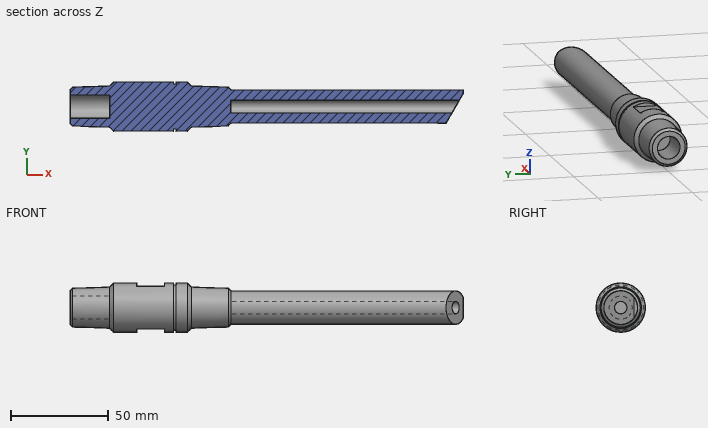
import cadquery as cq
import math

total_length = 202.29

body_diameter = 25.4
body_start = 20.3
body_end = 62.4
shoulder_length = 2.1
shoulder_diameter = 21.34

nipple_taper = 1 / 16
nipple_chamfer = 1.35

groove_diameter = 23.5
groove_start = 53.3
groove_width = 1.25

flat_start = 34.3
flat_length = 14.2
across_flats = 22.0

tube_diameter = 17.25
tip_angle = 30.0
tip_blunt_length = 1.0

inlet_bore_diameter = 11.91
tip_bore_diameter = 6.35

nipple_length = body_start
tube_start = body_end + nipple_length
tube_length = total_length - tube_start
nipple_tip_diameter = shoulder_diameter - nipple_taper * nipple_length


def cylinder_along_x(diameter, start, length):
    """Solid cylinder on the X axis."""
    return cq.Workplane("YZ", origin=(start, 0, 0)).circle(diameter / 2).extrude(length)


def make_body():
    """Body with a conical shoulder at each end."""
    body_radius = body_diameter / 2
    shoulder_radius = shoulder_diameter / 2
    profile = (
        cq.Workplane("XY")
        .moveTo(body_start, 0)
        .lineTo(body_start, shoulder_radius)
        .lineTo(body_start + shoulder_length, body_radius)
        .lineTo(body_end - shoulder_length, body_radius)
        .lineTo(body_end, shoulder_radius)
        .lineTo(body_end, 0)
        .close()
    )
    return profile.revolve(360, (0, 0, 0), (1, 0, 0))


def make_nipple(root, direction):
    """Tapered nipple growing from the body face at x = root, toward direction (+1 or -1)."""
    tip = root + direction * nipple_length
    chamfer_start = tip - direction * nipple_chamfer
    chamfer_radius = (nipple_tip_diameter + nipple_taper * nipple_chamfer) / 2
    profile = (
        cq.Workplane("XY")
        .moveTo(root, 0)
        .lineTo(root, shoulder_diameter / 2)
        .lineTo(chamfer_start, chamfer_radius)
        .lineTo(tip, chamfer_radius - nipple_chamfer)
        .lineTo(tip, 0)
        .close()
    )
    return profile.revolve(360, (0, 0, 0), (1, 0, 0))


def cut_groove(part):
    """Narrow ring groove around the body."""
    ring = cylinder_along_x(body_diameter, groove_start, groove_width)
    core = cylinder_along_x(groove_diameter, groove_start, groove_width)
    return part.cut(ring.cut(core))


def cut_wrench_flats(part):
    """Two opposite flats, facing +Z and -Z."""
    flat_depth = (body_diameter - across_flats) / 2
    flat_center_x = flat_start + flat_length / 2
    for side in (1, -1):
        flat_center_z = side * (across_flats + flat_depth) / 2
        cutter = cq.Workplane("XY").box(flat_length, body_diameter, flat_depth)
        part = part.cut(cutter.translate((flat_center_x, 0, flat_center_z)))
    return part


def cut_slanted_tip(part):
    """Slanted cut leaving the tube longest on its +Y side, its sharp point trimmed square."""
    tube_radius = tube_diameter / 2
    sharp_point_x = total_length + tip_blunt_length
    slant_length = tube_diameter * math.tan(math.radians(tip_angle))
    wedge = (
        cq.Workplane("XY", origin=(0, 0, -tube_radius))
        .moveTo(sharp_point_x, tube_radius)
        .lineTo(sharp_point_x - slant_length, -tube_radius)
        .lineTo(sharp_point_x, -tube_radius)
        .close()
        .extrude(tube_diameter)
    )
    return part.cut(wedge)


def cut_bores(part):
    """Wide bore from the first nipple and narrow bore from the slanted tip, both blind."""
    inlet_bore = cylinder_along_x(inlet_bore_diameter, 0, nipple_length)
    tip_bore = cylinder_along_x(tip_bore_diameter, tube_start, tube_length)
    return part.cut(inlet_bore).cut(tip_bore)


result = make_body()
result = result.union(make_nipple(body_start, -1))
result = result.union(make_nipple(body_end, 1))
result = result.union(cylinder_along_x(tube_diameter, tube_start, tube_length))
result = cut_groove(result)
result = cut_wrench_flats(result)
result = cut_slanted_tip(result)
result = cut_bores(result)